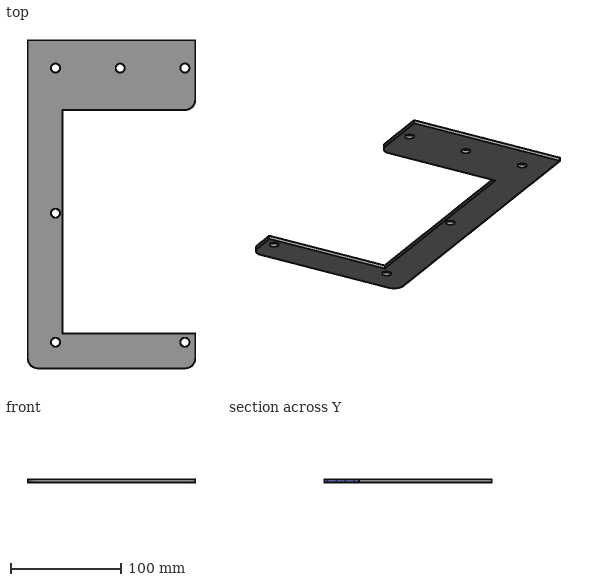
import cadquery as cq

width = 152.5
length = 298.5
thickness = 3.3

top_band = 63.5
side_band = 32.0
bottom_band = 32.0
corner_radius = 9.5

hole_diameter = 8.0
hole_left_inset = 25.5
hole_right_inset = 9.5
hole_top_inset = 25.5
hole_bottom_inset = 24.0
side_hole_height = 141.2

left_column = hole_left_inset
right_column = width - hole_right_inset
middle_column = (left_column + right_column) / 2
top_row = length - hole_top_inset
hole_centers = [
    (left_column, top_row),
    (middle_column, top_row),
    (right_column, top_row),
    (left_column, side_hole_height),
    (left_column, hole_bottom_inset),
    (right_column, hole_bottom_inset),
]


def bracket_plate():
    """C-shaped plate with its lower left corner at the origin."""
    upper_arm_bottom = length - top_band
    plate = (
        cq.Workplane("XY")
        .polyline([
            (0, 0),
            (width, 0),
            (width, bottom_band),
            (side_band, bottom_band),
            (side_band, upper_arm_bottom),
            (width, upper_arm_bottom),
            (width, length),
            (0, length),
        ])
        .close()
        .extrude(thickness)
    )
    for x, y in [(0, 0), (width, 0), (width, upper_arm_bottom)]:
        corner_edge = cq.selectors.NearestToPointSelector((x, y, thickness / 2))
        plate = plate.edges(corner_edge).fillet(corner_radius)
    return plate


def hole_cutters():
    """Cylinders that pass through the full plate thickness."""
    return cq.Workplane("XY").pushPoints(hole_centers).circle(hole_diameter / 2).extrude(thickness)


result = bracket_plate().cut(hole_cutters())